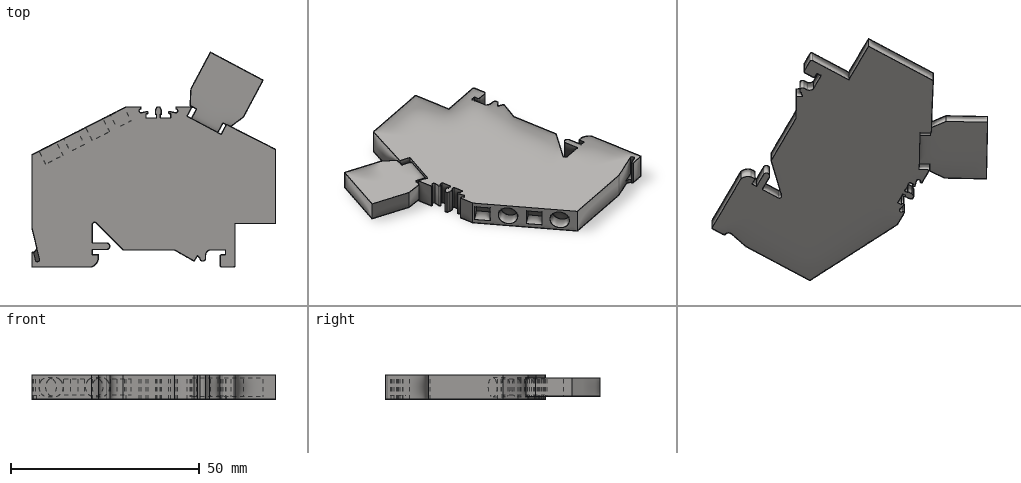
import cadquery as cq
import math

LENGTH = 64.5
THICKNESS = 6.5
TOP_Y = 42.4
LEFT_SHOULDER_Y = 29.75
RIGHT_SHOULDER_Y = 31.15
LEFT_SLOPE_TOP_X = 24.9
RIGHT_SLOPE_TOP_X = 42.4
MID_Z = THICKNESS / 2

RAIL_SEAT_Y = 4.5
RAIL_SLOPE_END_X = 24.1
LEFT_FOOT_X = 16.0
LEFT_FOOT_BASE_X = 15.8
LEFT_FOOT_TIP_X = 17.6
LEFT_FOOT_TOP_Y = 3.3
LEFT_FOOT_ROUND_Y = 2.1
LEFT_FOOT_RADIUS = 3.0
FINGER_BOTTOM_Y = 4.65
FINGER_TOP_Y = 6.4
FINGER_TIP_X = 20.65
RELIEF_RADIUS = 0.6
RIDGE_START_X = 37.75
RIDGE_TIP = (42.95, 1.55)
RIDGE_NOTCH = (43.8, 2.95)
TONGUE_LEFT_X = 44.45
TONGUE_RIGHT_X = 46.0
TONGUE_TIP_Y = 1.55
TONGUE_TOP_Y = 3.3
TONGUE_FLARE_X = 47.0
TONGUE_FLARE_RADIUS = 1.6
RIGHT_FOOT_NECK_X = 51.2
RIGHT_FOOT_LEFT_X = 49.8
RIGHT_FOOT_RIGHT_X = 53.8
RIGHT_FOOT_TOP_Y = 3.3
RIGHT_FOOT_ROUND = 0.45
RIGHT_STEP_Y = 11.5

TAPER_TOP_Y = 10.3
TAPER_END = (2.05, 1.8)
HOOK_Y = 3.95
HOOK_TOP_WIDTH = 0.45
HOOK_CHAMFER_WIDTH = 0.1
HOOK_CHAMFER_HEIGHT = 0.4
HOOK_SLOT_WIDTH = 1.1
HOOK_SLOT_END_BULGE = 0.25
HOOK_WEB_THICKNESS = 1.0
HOOK_WEB_TOP_Y = 5.3
HOOK_WEB_SAG = 0.2

NOTCH_CENTRE_X = 33.5
NOTCH_HALF_WIDTH = 4.65
NOTCH_DEPTH = 2.9
WELL_HALF_WIDTH = 3.2
LIP_HALF_WIDTH = 2.7
LIP_TOP_DEPTH = 1.2
LIP_BOTTOM_DEPTH = 1.8
UNDERCUT_HALF_WIDTH = 5.1
UNDERCUT_TOP_DEPTH = 0.5
UNDERCUT_BOTTOM_DEPTH = 1.55
POST_ROOT_HALF_WIDTH = 0.5
POST_HALF_WIDTH = 0.8
POST_TIP_HALF_WIDTH = 0.4
POST_ROOT_DEPTH = 2.0
POST_SHOULDER_DEPTH = 0.85

PLUG_TILT = 28.0
PLUG_THICKNESS = 4.9
PLUG_LEFT = -2.5
PLUG_RIGHT = 13.3
PLUG_TOP = 15.1
PLUG_CHAMFER_TOP = 4.05
PLUG_CHAMFER_WIDTH = 1.9
PLUG_SHOULDER = 0.05
PLUG_NECK_LEFT = 1.3
PLUG_NECK_RIGHT = 9.2
SOCKET_WIDTH = 10.2
SOCKET_DEPTH = 2.8

SLOT_Y_POSITIONS = (41.2, 34.95)
SLOT_TO_HOLE_DROP = 3.1
SLOT_LENGTH = 4.2
SLOT_WIDTH = 4.2
HOLE_DIAMETER = 5.15
OPENING_DEPTH = 3.9


def point_on_taper(y):
    """Point at height y on the tapered lower left side."""
    end_x, end_y = TAPER_END
    return (end_x * (TAPER_TOP_Y - y) / (TAPER_TOP_Y - end_y), y)


def hook_web_middle():
    """Middle of the concave arc between the taper and the hook."""
    top_x, top_y = point_on_taper(HOOK_WEB_TOP_Y)
    x = (top_x + HOOK_TOP_WIDTH) / 2 + HOOK_WEB_SAG
    y = (top_y + HOOK_Y) / 2 - HOOK_WEB_SAG
    return (x, y)


def make_housing():
    """Plate with the outer outline, before any pockets are cut."""
    relief_x = LEFT_FOOT_X + RELIEF_RADIUS
    diagonal = RELIEF_RADIUS * math.sqrt(0.5)
    relief_y = RAIL_SEAT_Y + RAIL_SLOPE_END_X - relief_x - 2 * diagonal
    finger_y = (FINGER_BOTTOM_Y + FINGER_TOP_Y) / 2
    finger_flat_x = FINGER_TIP_X - (FINGER_TOP_Y - FINGER_BOTTOM_Y) / 2
    tongue_x = (TONGUE_LEFT_X + TONGUE_RIGHT_X) / 2
    tongue_round_y = TONGUE_TIP_Y + (TONGUE_RIGHT_X - TONGUE_LEFT_X) / 2
    outline = (
        cq.Workplane("XY")
        .moveTo(0, 0)
        .lineTo(LEFT_FOOT_BASE_X, 0)
        .radiusArc((LEFT_FOOT_TIP_X, LEFT_FOOT_ROUND_Y), -LEFT_FOOT_RADIUS)
        .lineTo(LEFT_FOOT_TIP_X, LEFT_FOOT_TOP_Y)
        .lineTo(LEFT_FOOT_X, LEFT_FOOT_TOP_Y)
        .lineTo(LEFT_FOOT_X, FINGER_BOTTOM_Y)
        .lineTo(finger_flat_x, FINGER_BOTTOM_Y)
        .threePointArc((FINGER_TIP_X, finger_y), (finger_flat_x, FINGER_TOP_Y))
        .lineTo(LEFT_FOOT_X, FINGER_TOP_Y)
        .lineTo(LEFT_FOOT_X, relief_y)
        .threePointArc((relief_x, relief_y + RELIEF_RADIUS), (relief_x + diagonal, relief_y + diagonal))
        .lineTo(RAIL_SLOPE_END_X, RAIL_SEAT_Y)
        .lineTo(RIDGE_START_X, RAIL_SEAT_Y)
        .lineTo(*RIDGE_TIP)
        .lineTo(*RIDGE_NOTCH)
        .lineTo(TONGUE_LEFT_X, tongue_round_y)
        .threePointArc((tongue_x, TONGUE_TIP_Y), (TONGUE_RIGHT_X, tongue_round_y))
        .lineTo(TONGUE_RIGHT_X, TONGUE_TOP_Y)
        .radiusArc((TONGUE_FLARE_X, RAIL_SEAT_Y), TONGUE_FLARE_RADIUS)
        .lineTo(RIGHT_FOOT_NECK_X, RAIL_SEAT_Y)
        .lineTo(RIGHT_FOOT_NECK_X, RIGHT_FOOT_TOP_Y)
        .lineTo(RIGHT_FOOT_LEFT_X + RIGHT_FOOT_ROUND, RIGHT_FOOT_TOP_Y)
        .radiusArc((RIGHT_FOOT_LEFT_X, RIGHT_FOOT_TOP_Y - RIGHT_FOOT_ROUND), -RIGHT_FOOT_ROUND)
        .lineTo(RIGHT_FOOT_LEFT_X, RIGHT_FOOT_ROUND)
        .radiusArc((RIGHT_FOOT_LEFT_X + RIGHT_FOOT_ROUND, 0), -RIGHT_FOOT_ROUND)
        .lineTo(RIGHT_FOOT_RIGHT_X - RIGHT_FOOT_ROUND, 0)
        .radiusArc((RIGHT_FOOT_RIGHT_X, RIGHT_FOOT_ROUND), -RIGHT_FOOT_ROUND)
        .lineTo(RIGHT_FOOT_RIGHT_X, RIGHT_STEP_Y)
        .lineTo(LENGTH, RIGHT_STEP_Y)
        .lineTo(LENGTH, RIGHT_SHOULDER_Y)
        .lineTo(RIGHT_SLOPE_TOP_X, TOP_Y)
        .lineTo(LEFT_SLOPE_TOP_X, TOP_Y)
        .lineTo(0, LEFT_SHOULDER_Y)
        .lineTo(0, TAPER_TOP_Y)
        .lineTo(*point_on_taper(HOOK_WEB_TOP_Y))
        .threePointArc(hook_web_middle(), (HOOK_TOP_WIDTH, HOOK_Y))
        .lineTo(HOOK_CHAMFER_WIDTH, HOOK_Y)
        .lineTo(0, HOOK_Y - HOOK_CHAMFER_HEIGHT)
        .close()
    )
    return outline.extrude(THICKNESS)


def make_hook_slot():
    """Round-ended slot along the taper, leaving a thin web at the bottom face."""
    end_x, end_y = TAPER_END
    frame = cq.Plane(
        origin=(end_x, end_y, HOOK_WEB_THICKNESS),
        xDir=(-end_x, TAPER_TOP_Y - end_y, 0),
        normal=(0, 0, 1),
    )
    length = math.hypot(end_x, TAPER_TOP_Y - end_y) / 2
    return (
        cq.Workplane(frame)
        .moveTo(0, 0)
        .lineTo(length, 0)
        .lineTo(length, HOOK_SLOT_WIDTH)
        .lineTo(0, HOOK_SLOT_WIDTH)
        .sagittaArc((0, 0), -HOOK_SLOT_END_BULGE)
        .close()
        .extrude(THICKNESS)
    )


def make_half_notch(side):
    """Half of the marker notch; side is -1 for left and +1 for right."""

    def at(offset, depth):
        return (NOTCH_CENTRE_X + side * offset, TOP_Y - depth)

    undercut_middle = (UNDERCUT_TOP_DEPTH + UNDERCUT_BOTTOM_DEPTH) / 2
    return (
        cq.Workplane("XY")
        .moveTo(*at(POST_TIP_HALF_WIDTH, 0))
        .lineTo(*at(NOTCH_HALF_WIDTH, 0))
        .lineTo(*at(NOTCH_HALF_WIDTH, UNDERCUT_TOP_DEPTH))
        .threePointArc(at(UNDERCUT_HALF_WIDTH, undercut_middle), at(NOTCH_HALF_WIDTH, UNDERCUT_BOTTOM_DEPTH))
        .lineTo(*at(WELL_HALF_WIDTH, LIP_TOP_DEPTH))
        .threePointArc(
            at(LIP_HALF_WIDTH, (LIP_TOP_DEPTH + LIP_BOTTOM_DEPTH) / 2), at(WELL_HALF_WIDTH, LIP_BOTTOM_DEPTH))
        .lineTo(*at(WELL_HALF_WIDTH, NOTCH_DEPTH))
        .lineTo(*at(POST_ROOT_HALF_WIDTH, NOTCH_DEPTH))
        .lineTo(*at(POST_ROOT_HALF_WIDTH, POST_ROOT_DEPTH))
        .lineTo(*at(POST_HALF_WIDTH, POST_ROOT_DEPTH))
        .lineTo(*at(POST_HALF_WIDTH, POST_SHOULDER_DEPTH))
        .close()
        .extrude(THICKNESS)
    )


def make_slope_openings():
    """Slots and round holes sunk square into the left slope."""
    rise = TOP_Y - LEFT_SHOULDER_Y
    slope_angle = math.atan2(rise, LEFT_SLOPE_TOP_X)
    up_slope = (math.cos(slope_angle), math.sin(slope_angle), 0)
    outward = (-math.sin(slope_angle), math.cos(slope_angle), 0)

    def slope_face(y):
        x = LEFT_SLOPE_TOP_X * (y - LEFT_SHOULDER_Y) / rise
        return cq.Workplane(cq.Plane(origin=(x, y, MID_Z), xDir=up_slope, normal=outward))

    openings = cq.Workplane("XY")
    for slot_y in SLOT_Y_POSITIONS:
        slot = slope_face(slot_y).rect(SLOT_LENGTH, SLOT_WIDTH).extrude(-OPENING_DEPTH)
        hole = slope_face(slot_y - SLOT_TO_HOLE_DROP).circle(HOLE_DIAMETER / 2).extrude(-OPENING_DEPTH)
        openings = openings.add(slot).add(hole)
    return openings.combine()


def plug_frame(z):
    """Tilted workplane at height z with its origin at the top of the right slope."""
    tilt = math.radians(PLUG_TILT)
    return cq.Workplane(
        cq.Plane(
            origin=(RIGHT_SLOPE_TOP_X, TOP_Y, z),
            xDir=(math.cos(tilt), -math.sin(tilt), 0),
            normal=(0, 0, 1),
        )
    )


def make_socket():
    """Open socket through the housing that takes the plug neck."""
    return (
        plug_frame(0)
        .moveTo(SOCKET_WIDTH / 2, 0)
        .rect(SOCKET_WIDTH, 2 * SOCKET_DEPTH)
        .extrude(THICKNESS)
    )


def make_plug():
    """Plug head with chamfered lower corners on a neck standing in the socket."""
    return (
        plug_frame(MID_Z - PLUG_THICKNESS / 2)
        .polyline([
            (PLUG_NECK_LEFT, -SOCKET_DEPTH),
            (PLUG_NECK_RIGHT, -SOCKET_DEPTH),
            (PLUG_NECK_RIGHT, PLUG_SHOULDER),
            (PLUG_RIGHT - PLUG_CHAMFER_WIDTH, PLUG_SHOULDER),
            (PLUG_RIGHT, PLUG_CHAMFER_TOP),
            (PLUG_RIGHT, PLUG_TOP),
            (PLUG_LEFT, PLUG_TOP),
            (PLUG_LEFT, PLUG_CHAMFER_TOP),
            (PLUG_LEFT + PLUG_CHAMFER_WIDTH, PLUG_SHOULDER),
            (PLUG_NECK_LEFT, PLUG_SHOULDER),
        ])
        .close()
        .extrude(PLUG_THICKNESS)
    )


housing = make_housing().cut(make_hook_slot())
for side in (-1, 1):
    housing = housing.cut(make_half_notch(side))
housing = housing.cut(make_slope_openings()).cut(make_socket())
result = housing.union(make_plug())